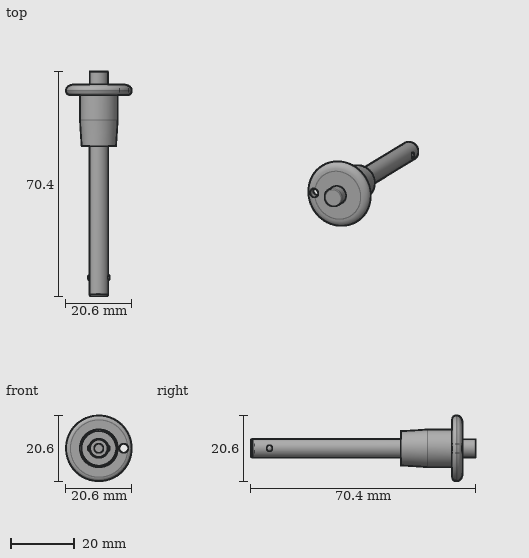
import cadquery as cq

total_length = 70.4
button_diameter = 5.8
button_height = 4.1
button_edge_radius = 0.3
flange_diameter = 20.6
flange_thickness = 3.4
flange_crown_flat_diameter = 15.35
flange_rim_radius = 1.35
flange_rim_band_height = 0.2
sleeve_diameter = 11.9
sleeve_length = 7.75
taper_end_diameter = 10.85
taper_length = 8.25
shank_diameter = 6.0
tip_chamfer_length = 0.6
tip_chamfer_depth = 0.3
tip_bore_diameter = 2.9
tip_bore_depth = 1.0
ball_diameter = 2.1
ball_span = 7.0
ball_from_tip = 5.85
lanyard_hole_diameter = 2.75
lanyard_hole_offset = 7.8

tip_y = -total_length / 2
button_top_y = total_length / 2
flange_top_y = button_top_y - button_height
flange_bottom_y = flange_top_y - flange_thickness
taper_start_y = flange_bottom_y - sleeve_length
taper_end_y = taper_start_y - taper_length
ball_y = tip_y + ball_from_tip


def make_cylinder(diameter, start_y, length, x=0):
    """Cylinder along +Y that starts at start_y."""
    return cq.Workplane(cq.Solid.makeCylinder(
        diameter / 2, length, cq.Vector(x, start_y, 0), cq.Vector(0, 1, 0)))


def make_shank():
    """Plain shank, chamfered at its tip, that runs up to the flange."""
    shank_radius = shank_diameter / 2
    return (
        cq.Workplane("XY")
        .moveTo(0, tip_y)
        .lineTo(shank_radius - tip_chamfer_depth, tip_y)
        .lineTo(shank_radius, tip_y + tip_chamfer_length)
        .lineTo(shank_radius, flange_bottom_y)
        .lineTo(0, flange_bottom_y)
        .close()
        .revolve(360, (0, 0), (0, 1))
    )


def make_sleeve():
    """Straight sleeve below the flange, ending in a slight taper."""
    return (
        cq.Workplane("XY")
        .moveTo(0, taper_end_y)
        .lineTo(taper_end_diameter / 2, taper_end_y)
        .lineTo(sleeve_diameter / 2, taper_start_y)
        .lineTo(sleeve_diameter / 2, flange_bottom_y)
        .lineTo(0, flange_bottom_y)
        .close()
        .revolve(360, (0, 0), (0, 1))
    )


def make_flange():
    """Disc with a round lower rim, a narrow straight band and an elliptical crown."""
    flange_radius = flange_diameter / 2
    crown_flat_radius = flange_crown_flat_diameter / 2
    rim_center_x = flange_radius - flange_rim_radius
    lower_rim_y = flange_bottom_y + flange_rim_radius
    upper_rim_y = lower_rim_y + flange_rim_band_height

    crown_width = flange_radius - crown_flat_radius
    crown_height = flange_top_y - upper_rim_y
    return (
        cq.Workplane("XY")
        .moveTo(0, flange_bottom_y)
        .lineTo(rim_center_x, flange_bottom_y)
        .radiusArc((flange_radius, lower_rim_y), -flange_rim_radius)
        .lineTo(flange_radius, upper_rim_y)
        .ellipseArc(crown_width, crown_height, 0, 90, startAtCurrent=True)
        .lineTo(0, flange_top_y)
        .close()
        .revolve(360, (0, 0), (0, 1))
    )


def make_button():
    """Release button with a softened outer edge."""
    button = make_cylinder(button_diameter, flange_top_y, button_height)
    return button.faces(">Y").edges().fillet(button_edge_radius)


def make_ball(side):
    """Locking ball on the +X (side = 1) or -X (side = -1) flank of the shank."""
    ball_x = (ball_span - ball_diameter) / 2
    return cq.Workplane("XY").sphere(ball_diameter / 2).translate((side * ball_x, ball_y, 0))


body = make_shank().union(make_sleeve()).union(make_flange()).union(make_button())
for side in (-1, 1):
    body = body.union(make_ball(side))

tip_bore = make_cylinder(tip_bore_diameter, tip_y, tip_bore_depth)
lanyard_hole = make_cylinder(
    lanyard_hole_diameter, flange_bottom_y, flange_thickness, x=lanyard_hole_offset)
result = body.cut(tip_bore).cut(lanyard_hole)